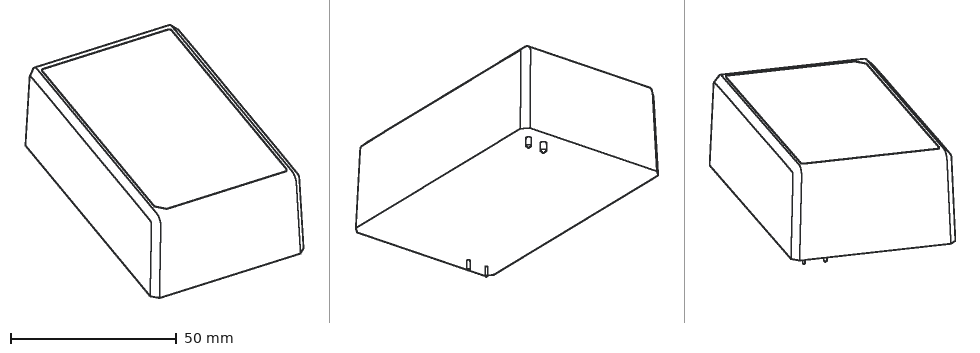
import cadquery as cq
import math

length = 87.0
width = 52.0
total_height = 33.0
pin_length = 3.5
case_height = total_height - pin_length
draft_angle = 2.0
end_fillet = 3.0
side_chamfer = 2.1

label_length = 77.95
label_width = 43.85
label_depth = 0.2
label_corner_radius = 0.8
label_cut_corner = 2.8

pin_embed = 0.9
small_pin_x = -38.3
large_pin_x = 37.9
pins = [
    (small_pin_x, 21.0, 0.8),
    (small_pin_x, 14.2, 1.05),
    (large_pin_x, -14.7, 1.9),
    (large_pin_x, -20.3, 1.65),
]


def make_case():
    """Drafted block with rounded ends and both long sides chamfered around."""
    top_inset = case_height * math.tan(math.radians(draft_angle))
    case = (
        cq.Workplane("XY")
        .rect(length, width)
        .workplane(offset=case_height)
        .rect(length - 2 * top_inset, width - 2 * top_inset)
        .loft(ruled=True)
    )
    case = case.faces(">Z").edges("|Y").fillet(end_fillet)
    side_edges = case.faces("<Y or >Y").edges().edges("not <Z")
    return side_edges.chamfer(side_chamfer)


def make_label_recess():
    """Rounded rectangle with its +X, -Y corner cut at 45 degrees."""
    half_length = label_length / 2
    half_width = label_width / 2
    outline = (
        cq.Workplane("XY", origin=(0, 0, case_height - label_depth))
        .rect(label_length, label_width)
        .extrude(label_depth)
    )
    outline = outline.edges("|Z").edges("<X or >Y").fillet(label_corner_radius)
    corner_point = (half_length, -half_width, case_height - label_depth / 2)
    cut_corner = cq.selectors.NearestToPointSelector(corner_point)
    return outline.edges(cut_corner).chamfer(label_cut_corner)


def make_pin(x, y, diameter):
    """Round pin hanging from the bottom face, pointed at its lower end."""
    radius = diameter / 2
    return (
        cq.Workplane("XZ", origin=(x, y, 0))
        .moveTo(0, pin_embed)
        .lineTo(radius, pin_embed)
        .lineTo(radius, radius - pin_length)
        .lineTo(0, -pin_length)
        .close()
        .revolve(360, (0, 0), (0, 1))
    )


result = make_case().cut(make_label_recess())
for x, y, diameter in pins:
    result = result.union(make_pin(x, y, diameter))